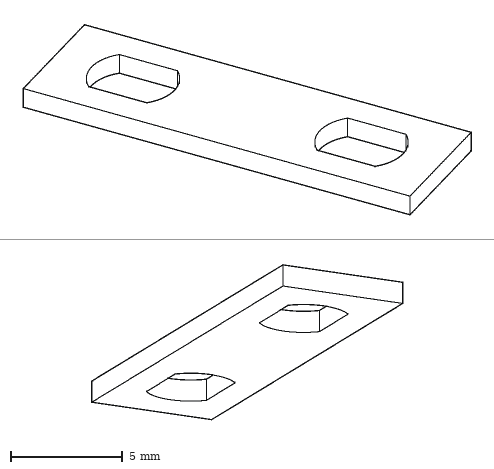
import cadquery as cq

plate_length = 19.55
plate_width = 6.0
plate_thickness = 1.0

hole_diameter = 4.2
hole_across_flats = 3.0
hole_end_distance = 4.0
hole_spacing = plate_length - 2 * hole_end_distance


def double_d_cutter(center_x):
    """Through-cutter for one double-D hole centred on the plate's long axis."""
    round_cutter = cq.Workplane("XY").circle(hole_diameter / 2).extrude(plate_thickness)
    flat_limits = cq.Workplane("XY").rect(hole_diameter, hole_across_flats).extrude(plate_thickness)
    return round_cutter.intersect(flat_limits).translate((center_x, 0, 0))


result = cq.Workplane("XY").rect(plate_length, plate_width).extrude(plate_thickness)
for side in (-1, 1):
    result = result.cut(double_d_cutter(side * hole_spacing / 2))